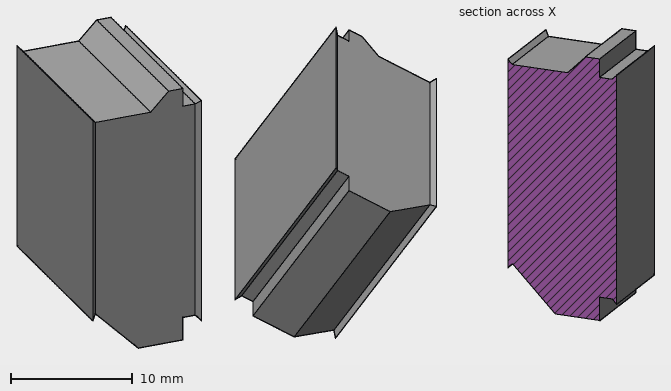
import cadquery as cq

overall_width = 15.7
overall_depth = 9.75
overall_height = 22.9

flare = 0.4
flare_angle = 45

back_step = 1.5
lug_height = 1.61
lug_flat = 1.28
lug_ramp = lug_height
foot_height = 2.04
foot_flat = 4.0

body_width = overall_width - 2 * flare
body_front = flare
body_back = overall_depth - flare
body_top = overall_height - lug_height
step_back = overall_depth - back_step
foot_front = step_back - foot_flat
lug_front = step_back - lug_flat
front_edge_bottom = foot_front - body_front


def make_body():
    """Side profile with the lug, foot and sloping underside, extruded across X."""
    profile = [
        (foot_front, 0),
        (step_back, 0),
        (step_back, foot_height),
        (body_back, foot_height),
        (body_back, body_top),
        (step_back, body_top),
        (step_back, overall_height),
        (lug_front, overall_height),
        (lug_front - lug_ramp, body_top),
        (body_front, body_top),
        (body_front, front_edge_bottom),
    ]
    return cq.Workplane("YZ").polyline(profile).close().extrude(body_width / 2, both=True)


def make_rim(rim_face_y, body_bottom, inward):
    """Rim narrowing from its outer face to the body; inward is the Y direction, +1 or -1."""
    face_plane = cq.Plane(origin=(0, rim_face_y, (body_bottom + body_top) / 2),
                          xDir=(1, 0, 0), normal=(0, inward, 0))
    rim_height = body_top - body_bottom + 2 * flare
    return (
        cq.Workplane(face_plane)
        .rect(overall_width, rim_height)
        .extrude(flare, taper=flare_angle)
    )


front_rim = make_rim(0, front_edge_bottom, 1)
back_rim = make_rim(overall_depth, foot_height, -1)
result = make_body().union(front_rim).union(back_rim)